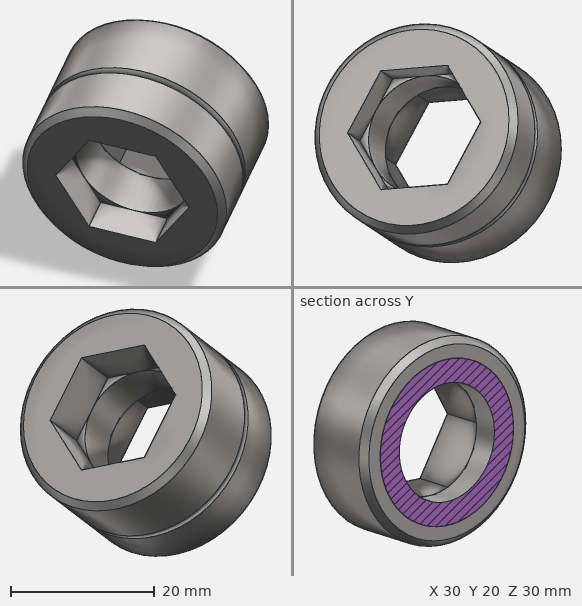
import cadquery as cq
import math

outer_diameter = 30.0
total_length = 20.0
chamfer = 1.0
head_length = 8.0
gap = 0.1
neck_end = 12.0
neck_diameter = 24.0
bore_diameter = 17.0
plug_hex_depth = 5.0

hex_sides = 6
hex_corner_diameter = bore_diameter / math.cos(math.pi / hex_sides)


def cylinder(diameter, start, end):
    """Solid cylinder about the Y axis, between two Y positions."""
    plane = cq.Workplane("XZ", origin=(0, start, 0))
    return plane.circle(diameter / 2).extrude(start - end)


def hexagon(start, end):
    """Hexagonal prism with two corners on the X axis, between two Y positions."""
    plane = cq.Workplane("XZ", origin=(0, start, 0))
    return plane.polygon(hex_sides, hex_corner_diameter).extrude(start - end)


def make_plug():
    """Chamfered head with a hexagonal socket, and a bored neck behind it."""
    head = cylinder(outer_diameter, 0, head_length).faces("<Y").edges().chamfer(chamfer)
    neck = cylinder(neck_diameter, head_length, neck_end)
    bore = cylinder(bore_diameter, 0, neck_end)
    return head.union(neck).cut(bore).cut(hexagon(0, plug_hex_depth))


def make_ring():
    """Ring chamfered at both ends, with a recess for the neck and a hexagonal hole behind it."""
    ring_start = head_length + gap
    ring = cylinder(outer_diameter, ring_start, total_length).edges("%CIRCLE").chamfer(chamfer)
    recess = cylinder(neck_diameter, ring_start, neck_end)
    return ring.cut(recess).cut(hexagon(neck_end, total_length))


plug = make_plug()
ring = make_ring()

result = cq.Compound.makeCompound([plug.val(), ring.val()])